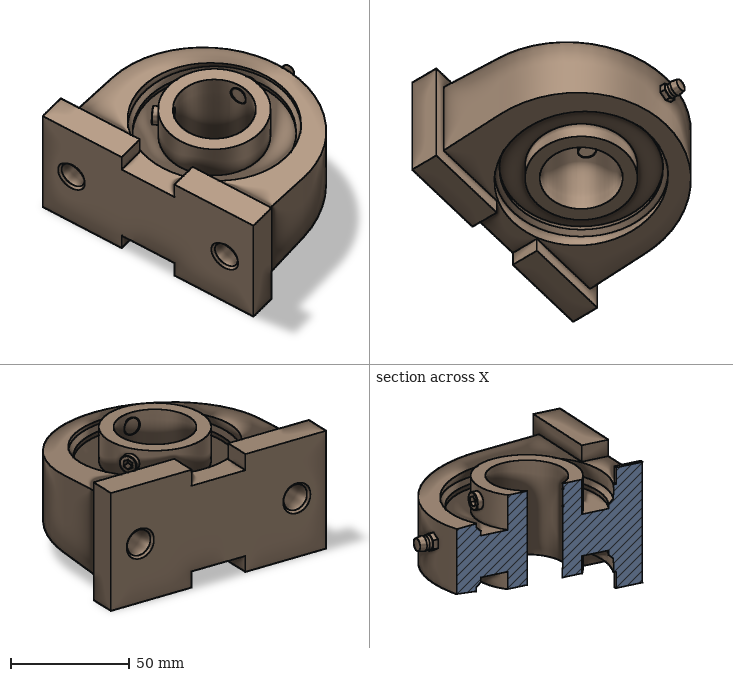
import math

import cadquery as cq


foot_length = 110.0
foot_height = 55.0
foot_thickness = 13.0
foot_bottom_y = -47.6
foot_top_y = foot_bottom_y + foot_thickness
notch_width = foot_length / 4
notched_height = 40.0

mount_hole_spacing = 80.0
mount_hole_diameter = 11.84
mount_countersink_diameter = 14.0
mount_hole_depth = 20.0
drill_point_angle = 118.0

housing_radius = 50.0
housing_arc_center_y = -4.65
housing_top_y = housing_arc_center_y + housing_radius
housing_root_half_height = notched_height / 2
housing_top_half_height = 14.7

recess_radius = 73.32 / 2
recess_floor_radius = 69.16 / 2
recess_cone_bottom_z = 11.6
recess_cone_top_z = recess_cone_bottom_z + recess_radius - recess_floor_radius
bearing_face_z = 9.6

ring_diameter = 47.45
bore_diameter = 35.0
ring_top_z = 25.4
ring_bottom_z = -17.5

screw_diameter = 8.0
screw_z = 18.9
screw_end_radius = 26.3
screw_chamfer = 0.25
screw_socket_flats = 4.0
screw_socket_depth = 4.0
screw_angles = (90.0, 210.0)

nipple_z = 4.5
nipple_hex_flats = 7.0
nipple_hex_top_y = 47.6
nipple_waist_y = 48.9
nipple_rim_y = 50.5
nipple_tip_y = 53.5
nipple_neck_radius = 3.2
nipple_waist_radius = 3.0
nipple_rim_radius = 3.4
nipple_tip_radius = 2.8
nipple_embedment = 3.0


def hexagon_diameter(across_flats):
    """Across-corners size of a regular hexagon."""
    return across_flats / math.cos(math.radians(30))


def make_foot():
    """Rectangular foot with a notch centred in its upper and lower edges."""
    foot_center_y = foot_bottom_y + foot_thickness / 2
    foot = cq.Workplane("XY").box(foot_length, foot_thickness, foot_height)
    foot = foot.translate((0, foot_center_y, 0))
    notch_depth = (foot_height - notched_height) / 2
    notch_z = (foot_height + notched_height) / 4
    for side in (1, -1):
        notch = cq.Workplane("XY").box(notch_width, foot_thickness, notch_depth)
        foot = foot.cut(notch.translate((0, foot_center_y, side * notch_z)))
    return foot


def make_housing():
    """Arch-shaped body whose two faces taper towards the crown."""
    arch = (
        cq.Workplane("XY")
        .workplane(offset=-housing_root_half_height)
        .moveTo(-housing_radius, foot_top_y)
        .lineTo(-housing_radius, housing_arc_center_y)
        .threePointArc((0, housing_top_y), (housing_radius, housing_arc_center_y))
        .lineTo(housing_radius, foot_top_y)
        .close()
        .extrude(2 * housing_root_half_height)
    )
    taper = (
        cq.Workplane("YZ")
        .polyline([
            (foot_top_y, -housing_root_half_height),
            (housing_top_y, -housing_top_half_height),
            (housing_top_y, housing_top_half_height),
            (foot_top_y, housing_root_half_height),
        ])
        .close()
        .extrude(housing_radius, both=True)
    )
    return arch.intersect(taper)


def make_recess():
    """Cutter for the stepped recess above the upper bearing face."""
    return (
        cq.Workplane("XZ")
        .polyline([
            (0, bearing_face_z),
            (recess_floor_radius, bearing_face_z),
            (recess_floor_radius, recess_cone_bottom_z),
            (recess_radius, recess_cone_top_z),
            (recess_radius, foot_height / 2),
            (0, foot_height / 2),
        ])
        .close()
        .revolve(360, (0, 0), (0, 1))
    )


def make_mount_hole():
    """Cutter for one blind hole with a 45 degree countersink and a drill point."""
    radius = mount_hole_diameter / 2
    countersink_radius = mount_countersink_diameter / 2
    countersink_y = foot_bottom_y + countersink_radius - radius
    wall_end_y = foot_bottom_y + mount_hole_depth
    tip_y = wall_end_y + radius / math.tan(math.radians(drill_point_angle / 2))
    return (
        cq.Workplane("XY")
        .polyline([
            (0, foot_bottom_y),
            (countersink_radius, foot_bottom_y),
            (radius, countersink_y),
            (radius, wall_end_y),
            (0, tip_y),
        ])
        .close()
        .revolve(360, (0, 0), (0, 1))
    )


def ring_cylinder(diameter):
    """Cylinder on the bearing axis, as tall as the inner ring."""
    base = cq.Workplane("XY").workplane(offset=ring_bottom_z)
    return base.circle(diameter / 2).extrude(ring_top_z - ring_bottom_z)


def outward_plane(radius):
    """Plane facing along +X at set screw height, with its local X axis along Z."""
    return cq.Plane(origin=(radius, 0, screw_z), xDir=(0, 0, 1), normal=(1, 0, 0))


def add_set_screw(body, angle):
    """Thread hole filled by a socket set screw ending flat at the bore radius."""
    bore_radius = bore_diameter / 2
    hole = cq.Workplane(outward_plane(0)).circle(screw_diameter / 2).extrude(ring_diameter / 2)
    screw = (
        cq.Workplane(outward_plane(bore_radius))
        .circle(screw_diameter / 2)
        .extrude(screw_end_radius - bore_radius)
        .faces(">X or <X")
        .chamfer(screw_chamfer)
    )
    socket = (
        cq.Workplane(outward_plane(screw_end_radius))
        .polygon(6, hexagon_diameter(screw_socket_flats))
        .extrude(-screw_socket_depth)
    )
    axis_start, axis_end = (0, 0, 0), (0, 0, 1)
    body = body.cut(hole.rotate(axis_start, axis_end, angle))
    return body.union(screw.cut(socket).rotate(axis_start, axis_end, angle))


def make_nipple():
    """Hexagon base on the crown carrying a waisted, rimmed and tapering head."""
    root_y = housing_top_y - nipple_embedment
    hex_plane = cq.Plane(origin=(0, root_y, nipple_z), xDir=(0, 0, 1), normal=(0, 1, 0))
    hex_base = (
        cq.Workplane(hex_plane)
        .polygon(6, hexagon_diameter(nipple_hex_flats))
        .extrude(nipple_hex_top_y - root_y)
    )
    head = (
        cq.Workplane("XY")
        .workplane(offset=nipple_z)
        .polyline([
            (0, root_y),
            (nipple_neck_radius, root_y),
            (nipple_neck_radius, nipple_hex_top_y),
            (nipple_waist_radius, nipple_waist_y),
            (nipple_rim_radius, nipple_rim_y),
            (nipple_tip_radius, nipple_tip_y),
            (0, nipple_tip_y),
        ])
        .close()
        .revolve(360, (0, 0), (0, 1))
    )
    return hex_base.union(head)


body = make_foot().union(make_housing())

upper_recess = make_recess()
body = body.cut(upper_recess).cut(upper_recess.mirror("XY"))

mount_hole = make_mount_hole()
for side in (1, -1):
    body = body.cut(mount_hole.translate((side * mount_hole_spacing / 2, 0, 0)))

body = body.union(ring_cylinder(ring_diameter)).cut(ring_cylinder(bore_diameter))
for screw_angle in screw_angles:
    body = add_set_screw(body, screw_angle)

result = body.union(make_nipple())